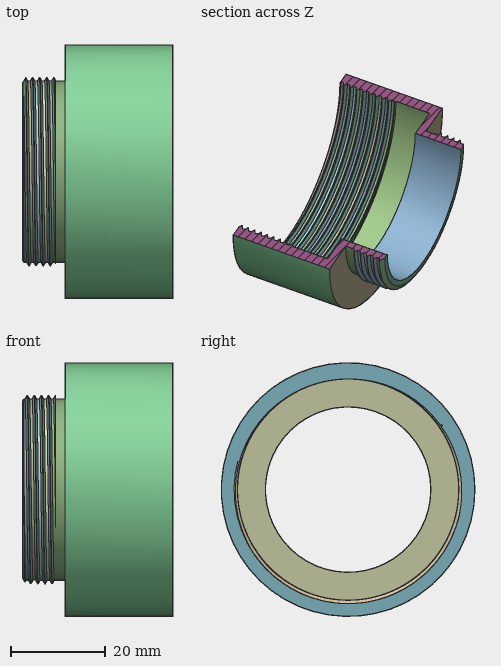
import cadquery as cq
import math

TOTAL_LENGTH = 31.8
SPIGOT_LENGTH = 9.0
BODY_DIAMETER = 53.63
SPIGOT_DIAMETER = 38.36
BORE_DIAMETER = 34.9

SOCKET_DIAMETER = 48.22
SOCKET_FLOOR_X = 10.8

PITCH = 1.5
RIDGE_HEIGHT = 0.72
CREST_WIDTH = 0.12
FLANK_ANGLE = 60
FLANK_SLOPE = math.tan(math.radians(FLANK_ANGLE))
RIDGE_OVERLAP = 0.1

OUTER_CREST_X = 1.0
OUTER_THREAD_END = 7.0
INNER_CREST_X = 19.75
INNER_THREAD_START = 18.7

END_CHAMFER_DEPTH = 0.5


def cylinder(diameter, start, end):
    """Solid cylinder along X from start to end."""
    return cq.Workplane("YZ").workplane(offset=start).circle(diameter / 2).extrude(end - start)


def thread_ridge(root_diameter, direction, crest_x, start, end):
    """Helical ridge on a root cylinder, growing outward (+1) or inward (-1), trimmed to start..end."""
    root_radius = root_diameter / 2
    crest_radius = root_radius + direction * RIDGE_HEIGHT
    base_radius = root_radius - direction * RIDGE_OVERLAP
    half_crest = CREST_WIDTH / 2
    half_base = half_crest + (RIDGE_HEIGHT + RIDGE_OVERLAP) / FLANK_SLOPE

    turns_before = math.ceil((crest_x - start) / PITCH) + 1
    first_crest = crest_x - turns_before * PITCH
    helix_length = (math.ceil((end - first_crest) / PITCH) + 1) * PITCH
    path = cq.Wire.makeHelix(PITCH, helix_length, root_radius)
    ridge = (
        cq.Workplane("XZ")
        .polyline([
            (base_radius, -half_base),
            (crest_radius, -half_crest),
            (crest_radius, half_crest),
            (base_radius, half_base),
        ])
        .close()
        .sweep(cq.Workplane(obj=path), isFrenet=True)
    )

    ridge = ridge.rotate((0, 0, 0), (1, 1, 1), 120).rotate((0, 0, 0), (1, 0, 0), 90)
    ridge = ridge.translate((first_crest, 0, 0))
    return ridge.intersect(cylinder(BODY_DIAMETER, start, end))


def end_cone():
    """Cone that bevels the spigot end and the first turn of its thread, as steep as the flanks."""
    end_radius = SPIGOT_DIAMETER / 2 - END_CHAMFER_DEPTH
    far_radius = end_radius + FLANK_SLOPE * SPIGOT_LENGTH
    return (
        cq.Workplane("XY")
        .polyline([(0, 0), (0, end_radius), (SPIGOT_LENGTH, far_radius), (SPIGOT_LENGTH, 0)])
        .close()
        .revolve(360, (0, 0, 0), (1, 0, 0))
    )


outer_thread = thread_ridge(SPIGOT_DIAMETER, 1, OUTER_CREST_X, 0, OUTER_THREAD_END)
inner_thread = thread_ridge(SOCKET_DIAMETER, -1, INNER_CREST_X, INNER_THREAD_START, TOTAL_LENGTH)

spigot = cylinder(SPIGOT_DIAMETER, 0, SPIGOT_LENGTH).union(outer_thread).intersect(end_cone())
body = cylinder(BODY_DIAMETER, SPIGOT_LENGTH, TOTAL_LENGTH)

result = (
    body.union(spigot)
    .cut(cylinder(BORE_DIAMETER, 0, TOTAL_LENGTH))
    .cut(cylinder(SOCKET_DIAMETER, SOCKET_FLOOR_X, TOTAL_LENGTH))
    .union(inner_thread)
    .solids()
)